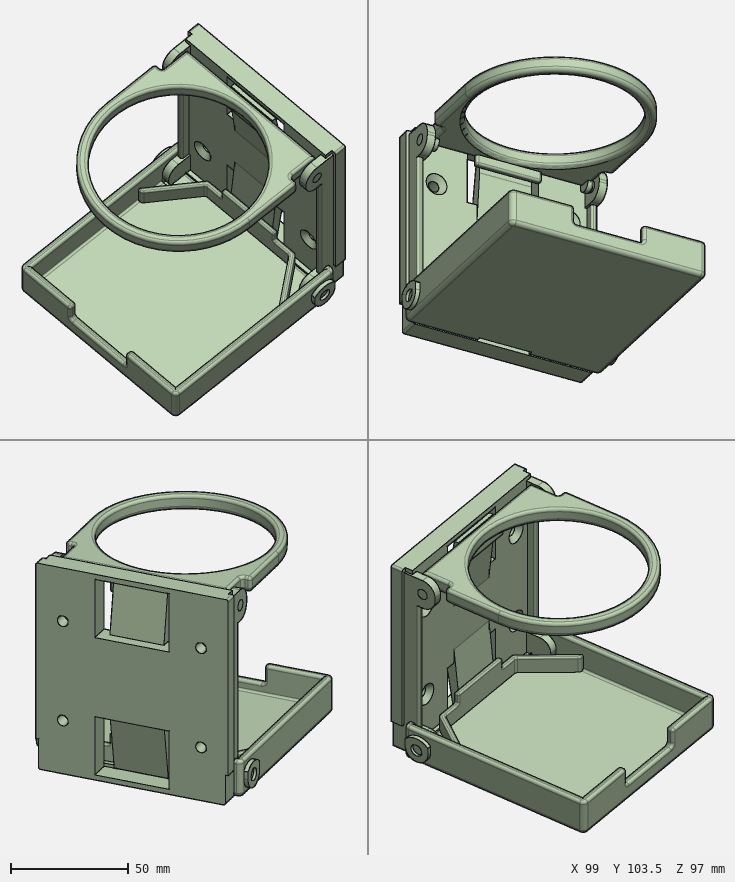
import cadquery as cq
import math

HEIGHT = 97.0
MID_Z = HEIGHT / 2
WIDE_WIDTH = 90.0
WIDE_DEPTH = 5.8
WIDE_BOTTOM = 14.2
BODY_WIDTH = 87.4
PLATE_DEPTH = 9.5
RAIL_THICK = 3.0
RAIL_DEPTH = 13.7
EDGE_ROUND = 1.0
END_STEP = 2.1

EAR_THICK = 3.9
RING_EAR_HEIGHT = 14.6
RING_EAR_ROUND = 6.6
TRAY_EAR_HEIGHT = 12.6
TRAY_EAR_ROUND = 5.8

SCREW_X = 32.3
SCREW_Z = 23.4
SCREW_DIA = 5.0
SINK_DIA = 10.0

SLOT_WIDTH = 34.6
SLOT_INNER = 18.6
SLOT_OUTER = 46.1

TAB_WIDTH = 25.3
TAB_ROOT = 11.5
TAB_CREST = 33.3
TAB_TIP = 46.1
TAB_CREST_DEPTH = 11.8
TAB_ROOT_BACK = 5.2
TAB_TIP_BACK = 9.7

RING_PIVOT_Y = -15.5
RING_PIVOT_Z = HEIGHT - END_STEP - RING_EAR_HEIGHT / 2
RING_PIN_DIA = 5.0
RING_TOP = 95.4
RING_THICK = 7.1
RING_RADIUS = 43.4
RING_HOLE_DIA = 77.0
RING_CENTER_Y = -55.4
RING_REAR_Y = -12.2
RING_TOP_ROUND = 1.5
RING_BASE_ROUND = 2.0
EAR_NOTCH_X = 39.0
EAR_NOTCH_FRONT_Y = -27.1
KNUCKLE_THICK = 3.0
KNUCKLE_RADIUS = 3.3
LIP_WIDTH = 31.7
LIP_BOTTOM = 83.5
LIP_THICK = 3.0

TRAY_SIDE = 95.0
TRAY_FRONT_Y = -103.5
TRAY_BOTTOM = 0.4
TRAY_TOP = 17.6
TRAY_FLOOR = 3.9
TRAY_INNER_WIDTH = 87.6
TRAY_WALL = (TRAY_SIDE - TRAY_INNER_WIDTH) / 2
TRAY_CORNER = 2.5
TRAY_BASE_ROUND = 2.0
TRAY_RIM_ROUND = 1.5
FLOOR_ROUND = 1.0
FLOOR_REAR_Y = -PLATE_DEPTH
FINGER_WIDTH = 33.5
FINGER_BOTTOM = 8.9

TRAY_PIVOT_Y = -16.6
TRAY_PIVOT_Z = 8.7
TRAY_PIN_DIA = 5.6
TRAY_PIN_TIP = 48.1
BOSS_SPAN = 99.0
BOSS_RADIUS = 6.0
BOSS_SHOULDER = 3.6
BOSS_CROWN = 6.2

FENCE_THICK = 2.6
FENCE_REAR_Y = -TAB_CREST_DEPTH
FENCE_BEND_X = 25.3
FENCE_END_X = 41.8
FENCE_END_Y = -36.5
FENCE_TOP = 11.8
TONGUE_WIDTH = 31.7
TONGUE_TOP = 17.1
FENCE_ROUND = 0.8
FENCE_BEND_ROUND = 1.5
FENCE_END_ROUND = 2.1

PICK_MARGIN = 0.1
CORNER_MARGIN = 1.0


def block(x0, x1, y0, y1, z0, z1):
    """Axis-aligned box between two corners."""
    return cq.Workplane("XY").box(x1 - x0, y1 - y0, z1 - z0, centered=False).translate((x0, y0, z0))


def centered_block(width, y0, y1, z0, z1):
    """Box that is symmetric about the YZ plane."""
    return block(-width / 2, width / 2, y0, y1, z0, z1)


def x_rod(diameter, x0, x1, y, z):
    """Cylinder along X."""
    return cq.Workplane("YZ", origin=(x0, 0, 0)).center(y, z).circle(diameter / 2).extrude(x1 - x0)


def with_mirror(shape, plane):
    """The shape together with its mirror image."""
    return shape.union(shape.mirror(plane))


def frame_plate():
    wide = centered_block(WIDE_WIDTH, -WIDE_DEPTH, 0, WIDE_BOTTOM, HEIGHT)
    wide = wide.edges(">Z and |Y").fillet(EDGE_ROUND)
    core_width = BODY_WIDTH - 2 * EDGE_ROUND
    core = centered_block(core_width, -PLATE_DEPTH, 0, 0, HEIGHT)
    flanks = centered_block(BODY_WIDTH, -PLATE_DEPTH, 0, 0, HEIGHT - END_STEP)
    flanks = flanks.edges("<Z and |Y").fillet(EDGE_ROUND)
    return wide.union(core).union(flanks)


def frame_rail():
    outer = BODY_WIDTH / 2
    rail = block(outer - RAIL_THICK, outer, -RAIL_DEPTH, -WIDE_DEPTH, END_STEP, HEIGHT - END_STEP)
    return rail.edges("<Y and |Z").fillet(EDGE_ROUND)


def frame_ear(pivot_y, bottom, height, rounding):
    """Hinge ear with rounded front corners."""
    outer = BODY_WIDTH / 2
    ear = block(outer - EAR_THICK, outer, pivot_y - rounding, -WIDE_DEPTH, bottom, bottom + height)
    return ear.edges("<Y and |X").fillet(rounding)


def upper_tab_slot():
    return centered_block(SLOT_WIDTH, -PLATE_DEPTH, 0, MID_Z + SLOT_INNER, MID_Z + SLOT_OUTER)


def upper_tab():
    """Spring tab that leans forward towards its free end."""
    profile = [
        (-PLATE_DEPTH, TAB_ROOT),
        (-TAB_CREST_DEPTH, TAB_CREST),
        (-TAB_CREST_DEPTH, TAB_TIP),
        (-TAB_TIP_BACK, TAB_TIP),
        (-TAB_ROOT_BACK, SLOT_INNER),
        (-TAB_ROOT_BACK, TAB_ROOT),
    ]
    points = [(y, MID_Z + z) for y, z in profile]
    return cq.Workplane("YZ").polyline(points).close().extrude(TAB_WIDTH / 2, both=True)


def screw_holes():
    """Through holes with a 90 degree countersink in the front face."""
    sink_depth = (SINK_DIA - SCREW_DIA) / 2
    profile = [
        (0, 0),
        (SCREW_DIA / 2, 0),
        (SCREW_DIA / 2, PLATE_DEPTH - sink_depth),
        (SINK_DIA / 2, PLATE_DEPTH),
        (0, PLATE_DEPTH),
    ]
    hole = cq.Workplane("XY").polyline(profile).close().revolve(360, (0, 0, 0), (0, 1, 0))
    holes = cq.Workplane("XY")
    for x in (-SCREW_X, SCREW_X):
        for z in (-SCREW_Z, SCREW_Z):
            holes = holes.add(hole.mirror("XZ").translate((x, 0, MID_Z + z)))
    return holes.combine()


def frame_side():
    """Rail on the +X side with its ears, the hole for the ring's pin and the pin for the tray."""
    outer = BODY_WIDTH / 2
    ring_ear_bottom = RING_PIVOT_Z - RING_EAR_HEIGHT / 2
    side = frame_rail()
    side = side.union(frame_ear(RING_PIVOT_Y, ring_ear_bottom, RING_EAR_HEIGHT, RING_EAR_ROUND))
    side = side.union(frame_ear(TRAY_PIVOT_Y, END_STEP, TRAY_EAR_HEIGHT, TRAY_EAR_ROUND))
    side = side.cut(x_rod(RING_PIN_DIA, outer - EAR_THICK, outer, RING_PIVOT_Y, RING_PIVOT_Z))
    return side.union(x_rod(TRAY_PIN_DIA, outer - EAR_THICK, TRAY_PIN_TIP, TRAY_PIVOT_Y, TRAY_PIVOT_Z))


def make_frame():
    slot = upper_tab_slot()
    tab = upper_tab()
    middle = (0, 0, MID_Z)
    frame = frame_plate().union(with_mirror(frame_side(), "YZ"))
    frame = frame.cut(slot).cut(slot.mirror("XY", middle))
    frame = frame.union(tab).union(tab.mirror("XY", middle))
    return frame.cut(screw_holes())


def ring_plate():
    """Plate with a round front, a large hole and a notch for each ear."""
    bottom = RING_TOP - RING_THICK
    plate = (
        cq.Workplane("XY", origin=(0, 0, bottom))
        .moveTo(-EAR_NOTCH_X, RING_REAR_Y)
        .lineTo(-EAR_NOTCH_X, EAR_NOTCH_FRONT_Y)
        .lineTo(-RING_RADIUS, EAR_NOTCH_FRONT_Y)
        .lineTo(-RING_RADIUS, RING_CENTER_Y)
        .threePointArc((0, RING_CENTER_Y - RING_RADIUS), (RING_RADIUS, RING_CENTER_Y))
        .lineTo(RING_RADIUS, EAR_NOTCH_FRONT_Y)
        .lineTo(EAR_NOTCH_X, EAR_NOTCH_FRONT_Y)
        .lineTo(EAR_NOTCH_X, RING_REAR_Y)
        .close()
        .extrude(RING_THICK)
    )
    ear_notch_corners = cq.selectors.BoxSelector(
        (-RING_RADIUS - CORNER_MARGIN, EAR_NOTCH_FRONT_Y - CORNER_MARGIN, bottom),
        (RING_RADIUS + CORNER_MARGIN, EAR_NOTCH_FRONT_Y + CORNER_MARGIN, RING_TOP),
    )
    plate = plate.edges(ear_notch_corners).edges("|Z").fillet(RING_TOP_ROUND)
    hole = cq.Workplane("XY", origin=(0, RING_CENTER_Y, bottom)).circle(RING_HOLE_DIA / 2).extrude(RING_THICK)
    plate = plate.cut(hole)
    plate = plate.faces(">Z").edges().fillet(RING_TOP_ROUND)
    return plate.faces("<Z").edges().fillet(RING_BASE_ROUND)


def ring_knuckle():
    """Round-bottomed cheek under the ring's rear corner, with the pin that turns in the ear."""
    inner = EAR_NOTCH_X - KNUCKLE_THICK
    cheek = x_rod(2 * KNUCKLE_RADIUS, inner, EAR_NOTCH_X, RING_PIVOT_Y, RING_PIVOT_Z)
    neck_top = RING_TOP - 2 * RING_TOP_ROUND
    neck = block(inner, EAR_NOTCH_X, RING_PIVOT_Y - KNUCKLE_RADIUS, RING_PIVOT_Y + KNUCKLE_RADIUS,
                 RING_PIVOT_Z, neck_top)
    cheek = cheek.union(neck).faces(">X").edges("not >Z").fillet(EDGE_ROUND)
    pin = x_rod(RING_PIN_DIA, inner, BODY_WIDTH / 2, RING_PIVOT_Y, RING_PIVOT_Z)
    return cheek.union(pin)


def ring_lip():
    """Stop that hangs from the rear edge of the ring in front of the upper tab."""
    lip = centered_block(LIP_WIDTH, RING_REAR_Y - LIP_THICK, RING_REAR_Y,
                         LIP_BOTTOM, RING_TOP - 2 * RING_TOP_ROUND)
    return lip.edges("<Z or |Z").fillet(EDGE_ROUND)


def make_ring():
    return ring_plate().union(with_mirror(ring_knuckle(), "YZ")).union(ring_lip())


def tray_shell():
    """Open box with rounded base and corners, and a finger notch in its front wall."""
    rear = TRAY_FRONT_Y + TRAY_SIDE
    front_inside = TRAY_FRONT_Y + TRAY_WALL
    rear_inside = rear - TRAY_WALL
    shell = centered_block(TRAY_SIDE, TRAY_FRONT_Y, rear, TRAY_BOTTOM, TRAY_TOP)
    shell = shell.edges("|Z").fillet(TRAY_CORNER)
    shell = shell.faces("<Z").edges().fillet(TRAY_BASE_ROUND)
    cavity = centered_block(TRAY_INNER_WIDTH, front_inside, rear_inside, TRAY_FLOOR, TRAY_TOP)
    cavity = cavity.faces("<Z").edges().fillet(FLOOR_ROUND)
    finger = centered_block(FINGER_WIDTH, TRAY_FRONT_Y, front_inside, FINGER_BOTTOM, TRAY_TOP)
    return shell.cut(cavity).cut(finger)


def round_rim(shell):
    """Round the top rim and the edges of the finger notch."""
    notch_reach = FINGER_WIDTH / 2 + PICK_MARGIN
    front = TRAY_FRONT_Y - CORNER_MARGIN
    front_inside = TRAY_FRONT_Y + TRAY_WALL + PICK_MARGIN
    rim = cq.selectors.BoxSelector((-TRAY_SIDE, front, TRAY_TOP - PICK_MARGIN),
                                   (TRAY_SIDE, 0, TRAY_TOP + PICK_MARGIN))
    notch = cq.selectors.BoxSelector((-notch_reach, front, FINGER_BOTTOM - PICK_MARGIN),
                                     (notch_reach, front_inside, TRAY_TOP - PICK_MARGIN))
    return shell.edges(rim + notch).fillet(TRAY_RIM_ROUND)


def tray_boss():
    """Pad around the pin hole: round below, with straight sides and a shallow crown."""
    y = TRAY_PIVOT_Y
    z = TRAY_PIVOT_Z
    profile = (
        cq.Workplane("YZ", origin=(TRAY_SIDE / 2, 0, 0))
        .moveTo(y - BOSS_RADIUS, z)
        .threePointArc((y, z - BOSS_RADIUS), (y + BOSS_RADIUS, z))
        .lineTo(y + BOSS_RADIUS, z + BOSS_SHOULDER)
        .threePointArc((y, z + BOSS_CROWN), (y - BOSS_RADIUS, z + BOSS_SHOULDER))
        .close()
    )
    return profile.extrude((BOSS_SPAN - TRAY_SIDE) / 2)


def inside_walls(front_y):
    """Selects the edges that lie behind front_y and clear of the tray's side walls."""
    reach = TRAY_INNER_WIDTH / 2 - PICK_MARGIN
    return cq.selectors.BoxSelector((-reach, front_y, 0), (reach, 0, TRAY_TOP))


def tray_fence():
    """Inner rear wall: a straight middle with a raised tongue, and ends that run out to the side walls."""
    half = TRAY_INNER_WIDTH / 2
    root = half + TRAY_WALL / 2
    front = FENCE_REAR_Y - FENCE_THICK
    run_x = FENCE_END_X - FENCE_BEND_X
    run_y = front - FENCE_END_Y
    run = math.hypot(run_x, run_y)
    rear_bend_x = FENCE_BEND_X + FENCE_THICK * (run - run_x) / run_y
    rear_end_y = FENCE_REAR_Y - (half - rear_bend_x) * run_y / run_x
    right_side = [
        (rear_bend_x, FENCE_REAR_Y),
        (half, rear_end_y),
        (root, rear_end_y),
        (root, FENCE_END_Y),
        (FENCE_END_X, FENCE_END_Y),
        (FENCE_BEND_X, front),
    ]
    left_side = [(-x, y) for x, y in reversed(right_side)]
    fence = cq.Workplane("XY", origin=(0, 0, TRAY_FLOOR)).polyline(right_side + left_side).close()
    fence = fence.extrude(FENCE_TOP - TRAY_FLOOR)
    bends = inside_walls(FENCE_END_Y + CORNER_MARGIN)
    fence = fence.edges(bends).edges("|Z").fillet(FENCE_BEND_ROUND)
    ends = inside_walls(FENCE_END_Y - CORNER_MARGIN)
    fence = fence.edges(ends).edges("|Z and <Y").fillet(FENCE_END_ROUND)
    tongue = centered_block(TONGUE_WIDTH, front, FENCE_REAR_Y, TRAY_FLOOR, TONGUE_TOP)
    reach = root - PICK_MARGIN
    top_edges = cq.selectors.BoxSelector((-reach, TRAY_FRONT_Y, FENCE_TOP - PICK_MARGIN),
                                         (reach, 0, TRAY_TOP))
    return fence.union(tongue).edges(top_edges).fillet(FENCE_ROUND)


def cut_frame_space(tray):
    """Open the rear of the tray and make room in its floor for the plate, tab, rails and lower ears."""
    rear = TRAY_FRONT_Y + TRAY_SIDE
    half = TRAY_INNER_WIDTH / 2
    tray = tray.cut(centered_block(TRAY_INNER_WIDTH, rear - TRAY_WALL, rear, TRAY_FLOOR, TRAY_TOP))
    tray = tray.cut(centered_block(BODY_WIDTH, FLOOR_REAR_Y, rear, 0, TRAY_FLOOR))
    tray = tray.cut(centered_block(TAB_WIDTH, FENCE_REAR_Y, rear, 0, TRAY_FLOOR))
    pocket = block(BODY_WIDTH / 2 - EAR_THICK, half, TRAY_PIVOT_Y - TRAY_EAR_ROUND, rear,
                   END_STEP, TRAY_FLOOR + FLOOR_ROUND)
    return tray.cut(with_mirror(pocket, "YZ"))


def make_tray():
    tray = cut_frame_space(round_rim(tray_shell()))
    tray = tray.union(tray_fence()).union(with_mirror(tray_boss(), "YZ"))
    pin_hole = x_rod(TRAY_PIN_DIA, BODY_WIDTH / 2, BOSS_SPAN / 2, TRAY_PIVOT_Y, TRAY_PIVOT_Z)
    return tray.cut(with_mirror(pin_hole, "YZ"))


frame = make_frame()
ring = make_ring()
tray = make_tray()
result = cq.Compound.makeCompound([frame.val(), ring.val(), tray.val()])